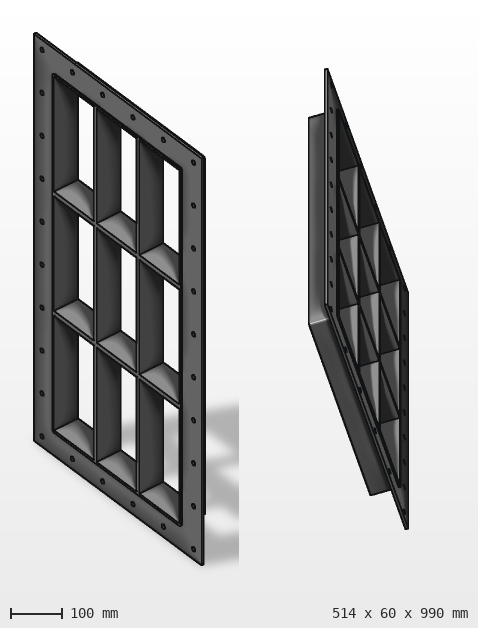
import cadquery as cq

plate_width = 514.0
plate_height = 990.0
plate_thickness = 6.0

flange_border = 59.0
frame_width = plate_width - 2 * flange_border
frame_height = plate_height - 2 * flange_border
frame_depth = 60.0
frame_wall = 6.0
corner_radius = 6.0
front_projection = 3.0

columns = 3
rows = 3
upright_thickness = 9.0
crossbar_thickness = 12.0

hole_diameter = 10.0
hole_inset = 25.0
holes_across = 6
holes_up = 10

front_y = -frame_depth / 2
plate_front_y = front_y + front_projection


def block(width, height, depth, start_y, x=0, z=0):
    """Box centred on (x, z) that extends toward +Y from start_y."""
    return (
        cq.Workplane("XY")
        .box(width, depth, height, centered=(True, False, True))
        .translate((x, start_y, z))
    )


def opening_layout(outer_size, bar_thickness, count):
    """Size and centre positions of equal openings between the frame walls."""
    clear_size = outer_size - 2 * frame_wall
    size = (clear_size - (count - 1) * bar_thickness) / count
    pitch = size + bar_thickness
    centres = [(i - (count - 1) / 2) * pitch for i in range(count)]
    return size, centres


def bolt_positions():
    """Evenly spaced points around the hole rectangle, without repeats."""
    half_x = plate_width / 2 - hole_inset
    half_z = plate_height / 2 - hole_inset
    pitch_x = 2 * half_x / (holes_across - 1)
    pitch_z = 2 * half_z / (holes_up - 1)
    points = []
    for side in (-1, 1):
        points += [(-half_x + i * pitch_x, side * half_z) for i in range(holes_across)]
        points += [(side * half_x, -half_z + i * pitch_z) for i in range(1, holes_up - 1)]
    return points


bolt_holes = (
    cq.Workplane("XZ", origin=(0, plate_front_y + plate_thickness, 0))
    .pushPoints(bolt_positions())
    .circle(hole_diameter / 2)
    .extrude(plate_thickness)
)
plate = block(plate_width, plate_height, plate_thickness, plate_front_y).cut(bolt_holes)

frame = block(frame_width, frame_height, frame_depth, front_y).edges("|Y").fillet(corner_radius)
result = plate.union(frame)

opening_width, column_centres = opening_layout(frame_width, upright_thickness, columns)
opening_height, row_centres = opening_layout(frame_height, crossbar_thickness, rows)
for x in column_centres:
    for z in row_centres:
        result = result.cut(block(opening_width, opening_height, frame_depth, front_y, x, z))